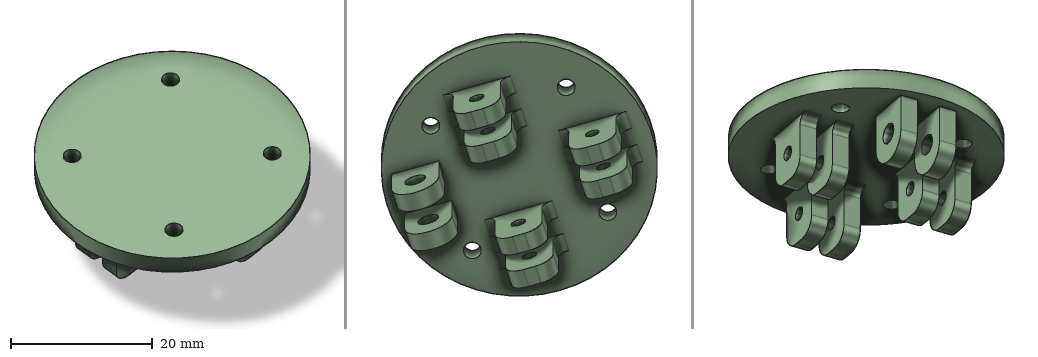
import cadquery as cq

plate_diameter = 39.0
plate_thickness = 3.0
plate_hole_diameter = 2.5
plate_hole_spacing = 20.0

lug_height = 9.0
lug_width = 7.0
lug_thickness = 2.7
corner_radius = 5.2 / 2
root_radius = 3.0 / 2
lug_hole_depth = lug_height / 2

back_y = 14.0
back_x = 3.15
back_hole_diameter = 3.0

side_y = 2.0
side_inner_x = 7.37
side_outer_x = 12.65
side_hole_diameter = 2.1

front_y = -12.0
front_x = 2.65
front_hole_diameter = 2.0


def extrude_lug(profile, x, y, hole_diameter):
    """Give a YZ profile its thickness, drill it along X and centre it at x, y."""
    lug = profile.extrude(lug_thickness / 2, both=True)
    hole = (
        cq.Workplane("YZ")
        .center(0, -lug_hole_depth)
        .circle(hole_diameter / 2)
        .extrude(lug_thickness, both=True)
    )
    return lug.cut(hole).translate((x, y, 0))


def round_lug(x, y, hole_diameter):
    """Straight-sided lug with a semicircular lower end."""
    half_width = lug_width / 2
    arc_start_z = half_width - lug_height
    profile = (
        cq.Workplane("YZ")
        .moveTo(-half_width, 0)
        .lineTo(-half_width, arc_start_z)
        .threePointArc((0, -lug_height), (half_width, arc_start_z))
        .lineTo(half_width, 0)
        .close()
    )
    return extrude_lug(profile, x, y, hole_diameter)


def filleted_lug(x, y, hole_diameter):
    """Lug with rounded lower corners and concave fillets where it meets the plate."""
    half_width = lug_width / 2
    root_half_width = half_width + root_radius
    flat_half_width = half_width - corner_radius
    arc_start_z = corner_radius - lug_height
    profile = (
        cq.Workplane("YZ")
        .moveTo(-root_half_width, 0)
        .radiusArc((-half_width, -root_radius), root_radius)
        .lineTo(-half_width, arc_start_z)
        .radiusArc((-flat_half_width, -lug_height), -corner_radius)
        .lineTo(flat_half_width, -lug_height)
        .radiusArc((half_width, arc_start_z), -corner_radius)
        .lineTo(half_width, -root_radius)
        .radiusArc((root_half_width, 0), root_radius)
        .close()
    )
    return extrude_lug(profile, x, y, hole_diameter)


result = (
    cq.Workplane("XY")
    .circle(plate_diameter / 2)
    .extrude(plate_thickness)
    .faces(">Z")
    .workplane()
    .rect(plate_hole_spacing, plate_hole_spacing, forConstruction=True)
    .vertices()
    .hole(plate_hole_diameter)
)

for side in (-1, 1):
    result = result.union(round_lug(side * back_x, back_y, back_hole_diameter))
    result = result.union(filleted_lug(side * front_x, front_y, front_hole_diameter))
    for x in (side_inner_x, side_outer_x):
        result = result.union(filleted_lug(side * x, side_y, side_hole_diameter))